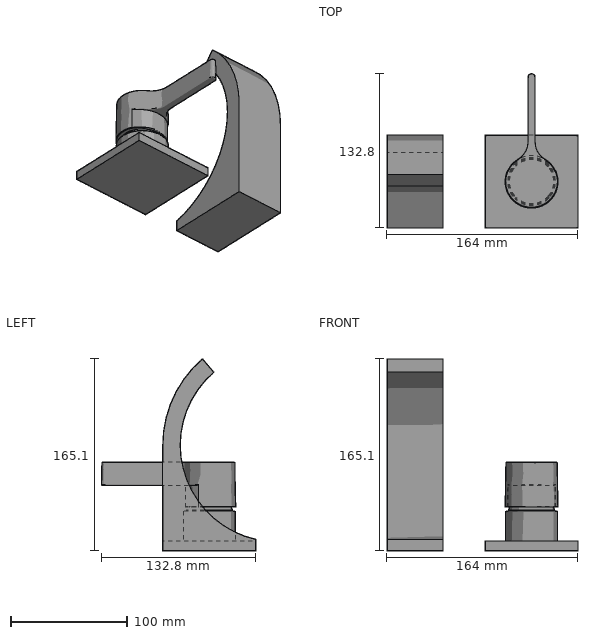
import cadquery as cq
import math

spout_width = 48.0
spout_depth = 80.1
spout_height = 165.1
spout_thickness = 15.2
spout_inner_radius = 82.7
spout_outer_radius = spout_inner_radius + spout_thickness
spout_center_z = 90.8
spout_center_y = spout_depth - spout_outer_radius

overall_width = 164.0
plate_side = 80.0
plate_thickness = 8.8
plate_edge_radius = 0.8
axis_x = overall_width - plate_side / 2
axis_y = plate_side / 2

base_radius = 22.5
base_top = 34.2
base_edge_radius = 1.0
collar_bottom_radius = 20.5
collar_top_radius = 19.8
collar_height = 1.0
collar_top = base_top + collar_height

neck_top_radius = 19.0
body_bottom = 37.7
body_bottom_radius = 22.8
lever_bottom = 56.1
handle_top = 76.3
draft_angle = 1.0
lever_half_width = 3.1
lever_tip_y = 132.8
blend_radius = 17.2
lever_edge_radius = 1.0
body_edge_radius = 0.5

relief_start = 9.4
relief_half_width = 20.3
relief_back = 20.6


def make_spout():
    tip_angle = math.asin((spout_height - spout_center_z) / spout_outer_radius)
    foot_angle = -math.acos(-spout_center_y / spout_inner_radius)

    def arc_point(radius, angle):
        return (
            spout_center_y + radius * math.cos(angle),
            spout_center_z + radius * math.sin(angle),
        )

    return (
        cq.Workplane("YZ")
        .moveTo(0, 0)
        .lineTo(spout_depth, 0)
        .lineTo(spout_depth, spout_center_z)
        .threePointArc(
            arc_point(spout_outer_radius, tip_angle / 2),
            arc_point(spout_outer_radius, tip_angle),
        )
        .lineTo(*arc_point(spout_inner_radius, tip_angle))
        .threePointArc(
            arc_point(spout_inner_radius, 0),
            arc_point(spout_inner_radius, foot_angle),
        )
        .close()
        .extrude(spout_width)
    )


def make_plate():
    return (
        cq.Workplane("XY")
        .center(axis_x, axis_y)
        .rect(plate_side, plate_side)
        .extrude(plate_thickness)
        .faces(">Z")
        .edges()
        .fillet(plate_edge_radius)
    )


def make_cone(bottom_radius, top_radius, bottom, top):
    cone = cq.Solid.makeCone(bottom_radius, top_radius, top - bottom, cq.Vector(axis_x, axis_y, bottom))
    return cq.Workplane(cone)


def make_base():
    base = (
        cq.Workplane("XY")
        .workplane(offset=plate_thickness)
        .center(axis_x, axis_y)
        .circle(base_radius)
        .extrude(base_top - plate_thickness)
        .faces(">Z")
        .edges()
        .fillet(base_edge_radius)
    )
    return base.union(make_cone(collar_bottom_radius, collar_top_radius, base_top, collar_top))


def make_teardrop():
    """Drafted teardrop: a round body blended by tangent arcs into a straight lever."""
    spread = (lever_bottom - body_bottom) * math.tan(math.radians(draft_angle))
    half_width = lever_half_width + spread
    blend = blend_radius - spread
    blend_x = half_width + blend
    blend_y = math.sqrt((body_bottom_radius + blend) ** 2 - blend_x**2)
    body_share = body_bottom_radius / (body_bottom_radius + blend)
    tangent_x = blend_x * body_share
    tangent_y = blend_y * body_share
    blend_angle = math.atan2(blend_y, blend_x) / 2
    middle_x = blend_x - blend * math.cos(blend_angle)
    middle_y = blend_y - blend * math.sin(blend_angle)
    tip_y = lever_tip_y - axis_y + spread
    tip_start = tip_y - half_width
    return (
        cq.Workplane("XY")
        .workplane(offset=body_bottom)
        .center(axis_x, axis_y)
        .moveTo(-tangent_x, tangent_y)
        .threePointArc((0, -body_bottom_radius), (tangent_x, tangent_y))
        .threePointArc((middle_x, middle_y), (half_width, blend_y))
        .lineTo(half_width, tip_start)
        .threePointArc((0, tip_y), (-half_width, tip_start))
        .lineTo(-half_width, blend_y)
        .threePointArc((-middle_x, middle_y), (-tangent_x, tangent_y))
        .close()
        .extrude(handle_top - body_bottom, taper=draft_angle)
        .faces(">Z")
        .edges()
        .fillet(lever_edge_radius)
    )


def cut_below(body, z):
    """Keep only the part of a body above the height z."""
    below = cq.Workplane("XY").box(
        2 * overall_width, 2 * lever_tip_y, z, centered=(False, False, False)
    )
    return body.cut(below)


def make_relief():
    """Space under the lever, leaving a shallow curve across the back of the body.

    The lever with its rounded lower edge is taken out of this space.
    """
    lever = cut_below(make_teardrop(), lever_bottom).faces("<Z").edges().fillet(lever_edge_radius)
    relief_height = lever_bottom + lever_edge_radius - body_bottom
    outer_x = 2 * body_bottom_radius
    outer_y = lever_tip_y
    return (
        cq.Workplane("XY")
        .workplane(offset=body_bottom)
        .center(axis_x, axis_y)
        .moveTo(-outer_x, relief_start)
        .lineTo(-relief_half_width, relief_start)
        .threePointArc((0, relief_back), (relief_half_width, relief_start))
        .lineTo(outer_x, relief_start)
        .lineTo(outer_x, outer_y)
        .lineTo(-outer_x, outer_y)
        .close()
        .extrude(relief_height)
        .cut(lever)
    )


def make_handle():
    handle = make_teardrop().cut(make_relief())
    handle = handle.faces("<Z").edges().fillet(body_edge_radius)
    neck = make_cone(collar_top_radius, neck_top_radius, collar_top, body_bottom)
    return handle.union(neck)


spout = make_spout()
plate = make_plate()
base = make_base()
handle = make_handle()

result = cq.Compound.makeCompound([spout.val(), plate.val(), base.val(), handle.val()])